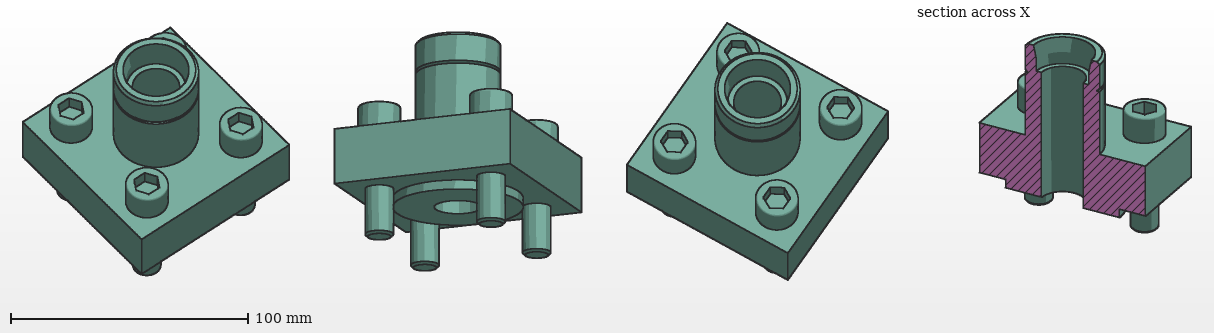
import cadquery as cq
import math

PLATE_SIDE = 80.0
PLATE_THICKNESS = 24.0
SCREW_PROJECTION = 21.0
PLATE_TOP = SCREW_PROJECTION + PLATE_THICKNESS
TOTAL_HEIGHT = 89.0

SPIGOT_DIAMETER = 55.0
SPIGOT_HEIGHT = 4.0

SOCKET_RADIUS = 36.0 / 2
SOCKET_CHAMFER = 1.25
COLLAR_HEIGHT = 12.7
GROOVE_HEIGHT = 1.25
GROOVE_RADIUS = SOCKET_RADIUS - GROOVE_HEIGHT

BORE_RADIUS = 20.0 / 2
SEAT_RADIUS = 25.0 / 2
SEAT_DEPTH = 12.0
MOUTH_RADIUS = 13.9
TAPER_HALF_ANGLE = 12.0
TAPER_DEPTH = (MOUTH_RADIUS - SEAT_RADIUS) / math.tan(math.radians(TAPER_HALF_ANGLE))

SCREW_SPACING = 50.9
SHANK_DIAMETER = 12.0
SHANK_CHAMFER = 1.1
HEAD_DIAMETER = 18.0
HEAD_HEIGHT = 12.0
HEAD_EDGE_RADIUS = 1.1
HEX_ACROSS_FLATS = 10.0
HEX_DEPTH = 6.0


def revolve_profile(points):
    """Revolve an outline of (radius, height) points about the Z axis."""
    return cq.Workplane("XZ").polyline(points).close().revolve(360, (0, 0, 0), (0, 1, 0))


def make_plate():
    plate = cq.Workplane("XY").workplane(offset=SCREW_PROJECTION)
    plate = plate.rect(PLATE_SIDE, PLATE_SIDE).extrude(PLATE_THICKNESS)
    spigot = cq.Workplane("XY").workplane(offset=SCREW_PROJECTION)
    return plate.union(spigot.circle(SPIGOT_DIAMETER / 2).extrude(-SPIGOT_HEIGHT))


def make_socket():
    groove_top = TOTAL_HEIGHT - COLLAR_HEIGHT
    groove_bottom = groove_top - GROOVE_HEIGHT
    return revolve_profile([
        (0, PLATE_TOP),
        (SOCKET_RADIUS, PLATE_TOP),
        (SOCKET_RADIUS, groove_bottom),
        (GROOVE_RADIUS, groove_bottom),
        (SOCKET_RADIUS, groove_top),
        (SOCKET_RADIUS, TOTAL_HEIGHT - SOCKET_CHAMFER),
        (SOCKET_RADIUS - SOCKET_CHAMFER, TOTAL_HEIGHT),
        (0, TOTAL_HEIGHT),
    ])


def make_bore():
    seat_level = TOTAL_HEIGHT - SEAT_DEPTH
    return revolve_profile([
        (0, 0),
        (BORE_RADIUS, 0),
        (BORE_RADIUS, seat_level),
        (SEAT_RADIUS, seat_level),
        (SEAT_RADIUS, TOTAL_HEIGHT - TAPER_DEPTH),
        (MOUTH_RADIUS, TOTAL_HEIGHT),
        (0, TOTAL_HEIGHT),
    ])


def make_screw():
    shank = cq.Workplane("XY").circle(SHANK_DIAMETER / 2).extrude(PLATE_TOP)
    shank = shank.faces("<Z").chamfer(SHANK_CHAMFER)
    head = cq.Workplane("XY").workplane(offset=PLATE_TOP)
    head = head.circle(HEAD_DIAMETER / 2).extrude(HEAD_HEIGHT)
    head = head.faces(">Z").fillet(HEAD_EDGE_RADIUS)
    hex_across_corners = HEX_ACROSS_FLATS / math.cos(math.pi / 6)
    recess = cq.Workplane("XY").workplane(offset=PLATE_TOP + HEAD_HEIGHT)
    recess = recess.polygon(6, hex_across_corners).extrude(-HEX_DEPTH)
    recess = recess.rotate((0, 0, 0), (0, 0, 1), 90)
    return shank.union(head.cut(recess))


body = make_plate().union(make_socket()).cut(make_bore())
screw = make_screw()
for side_x in (-1, 1):
    for side_y in (-1, 1):
        position = (side_x * SCREW_SPACING / 2, side_y * SCREW_SPACING / 2, 0)
        body = body.union(screw.translate(position))

result = body